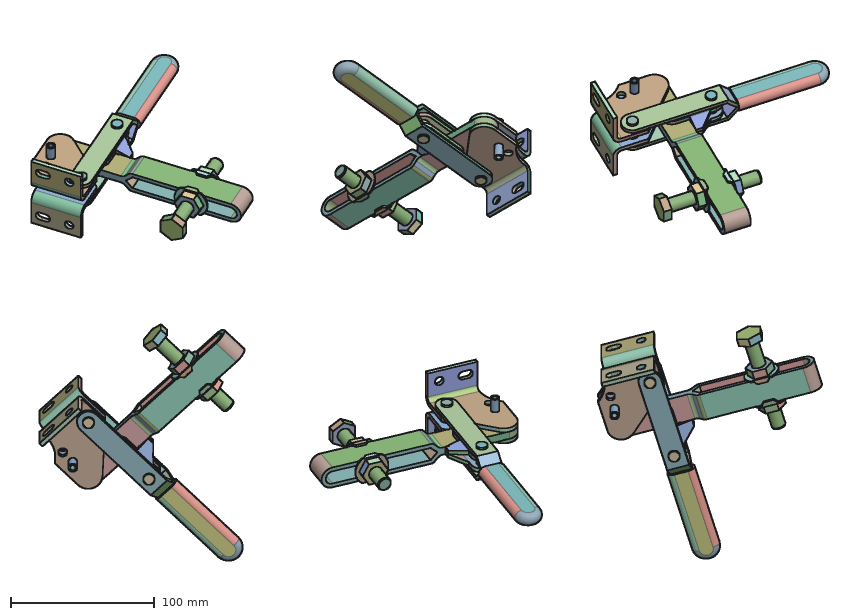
import cadquery as cq
import math


pivot_y = 18.2
arm_y = 48.2
upper_pivot_y = 78.2
rivet_radius = 4.0
rivet_half_length = 11.6

bracket_sheet = 3.2
bracket_gap_half = 3.0
bracket_bend_radius = 3.2
bracket_left = -39.7
bracket_right = 8.0
flange_left = -30.0
flange_edge_z = 28.5
bracket_corner_radius = 10.0
bracket_cut_angle = 43.0
relief_top_y = 25.2
relief_bottom_y = 6.4
mount_hole_z = 20.0
mount_hole_x = -1.0
mount_slot_x = -21.0
mount_hole_diameter = 6.5
mount_slot_length = 10.8

stop_x = -30.0
stop_y = 33.2
spare_stop_y = 23.2
stop_diameter = 6.2
stop_bore_diameter = 3.8
stop_half_length = 16.4

arm_width = 20.0
arm_sheet = 3.2
arm_bar_half = 3.0
arm_loop_half = 8.2
arm_fork_x = 25.0
arm_fork_outer_x = 23.0
arm_foot_radius = 5.0
arm_shoulder_radius = 4.0
arm_end_center_x = 104.7

ear_sheet = 3.2
ear_radius = 8.0
wing_tip_x = 18.8
wing_lap = 0.2
wing_tip_y = 63.4

strap_inner_z = 7.2
strap_outer_z = 10.0
strap_radius = 8.0
grip_start_y = 95.2
grip_end_y = 167.0
grip_width = 20.0
grip_thickness = 10.0

bolt_x = 75.0
bolt_diameter = 10.0
bolt_chamfer = 1.0
bolt_tip_chamfer = 0.5
bolt_tip_y = 81.3
head_bottom_y = 5.1
head_height = 6.0
hex_across_flats = 17.0
nut_height = 6.0
washer_thickness = 1.0
washer_radius = 12.5
washer_flat_z = 10.0
tab_depth = 2.6
tab_root_half = 5.8
tab_tip_half = 3.7

diagonal = math.sqrt(0.5)
hex_across_corners = hex_across_flats / math.cos(math.pi / 6)
arm_top_y = arm_y + arm_width / 2
arm_bottom_y = arm_y - arm_width / 2


def z_rod(x, y, diameter, half_length):
    """Cylinder along Z, centred on Z = 0."""
    return cq.Workplane("XY", origin=(x, y, -half_length)).circle(diameter / 2).extrude(2 * half_length)


def y_prism(sketch_plane, height):
    """Extrude a sketch drawn on an XZ plane towards +Y."""
    return sketch_plane.extrude(-height)


def xz_plane(y):
    """XZ work plane at the given Y."""
    return cq.Workplane("XZ", origin=(0, y, 0))


def bracket_outline():
    """Side outline of a bracket plate, swept through its thickness and flange."""
    corner_x = bracket_left + bracket_corner_radius
    corner_y = arm_top_y - bracket_corner_radius
    cut_angle = math.radians(bracket_cut_angle)
    cut_x = corner_x + bracket_corner_radius * math.sin(cut_angle)
    cut_y = corner_y + bracket_corner_radius * math.cos(cut_angle)
    cut_right_y = cut_y - (bracket_right - cut_x) * math.tan(cut_angle)
    relief_rise = relief_top_y - relief_bottom_y
    relief_run = flange_left - bracket_left
    relief_radius = (relief_rise**2 + relief_run**2) / (2 * relief_run)
    relief_half_angle = math.asin(relief_rise / relief_radius) / 2
    relief_mid = (
        flange_left - relief_radius * (1 - math.cos(relief_half_angle)),
        relief_bottom_y + relief_radius * math.sin(relief_half_angle),
    )
    return (
        cq.Workplane("XY")
        .moveTo(flange_left, 0)
        .lineTo(bracket_right, 0)
        .lineTo(bracket_right, cut_right_y)
        .lineTo(cut_x, cut_y)
        .threePointArc(
            (corner_x - bracket_corner_radius * diagonal, corner_y + bracket_corner_radius * diagonal),
            (bracket_left, corner_y),
        )
        .lineTo(bracket_left, relief_top_y)
        .threePointArc(relief_mid, (flange_left, relief_bottom_y))
        .close()
        .extrude(flange_edge_z)
    )


def bent_sheet():
    """L-section of the bracket: upright plate, bend and flange."""
    outer_radius = bracket_bend_radius + bracket_sheet
    center_y = outer_radius
    center_z = bracket_gap_half + outer_radius
    plate_outer_z = bracket_gap_half + bracket_sheet
    return (
        cq.Workplane("YZ", origin=(bracket_left, 0, 0))
        .moveTo(arm_top_y, bracket_gap_half)
        .lineTo(center_y, bracket_gap_half)
        .threePointArc(
            (center_y - outer_radius * diagonal, center_z - outer_radius * diagonal),
            (0, center_z),
        )
        .lineTo(0, flange_edge_z)
        .lineTo(bracket_sheet, flange_edge_z)
        .lineTo(bracket_sheet, center_z)
        .threePointArc(
            (center_y - bracket_bend_radius * diagonal, center_z - bracket_bend_radius * diagonal),
            (center_y, plate_outer_z),
        )
        .lineTo(arm_top_y, plate_outer_z)
        .close()
        .extrude(bracket_right - bracket_left)
    )


def make_bracket():
    """Bracket plate on the +Z side."""
    plate = bent_sheet().intersect(bracket_outline())
    for hole_y in (stop_y, spare_stop_y):
        plate = plate.cut(z_rod(stop_x, hole_y, stop_diameter, flange_edge_z))
    plate = plate.cut(z_rod(0, pivot_y, 2 * rivet_radius, flange_edge_z))
    round_hole = y_prism(
        xz_plane(0).center(mount_hole_x, mount_hole_z).circle(mount_hole_diameter / 2), bracket_sheet
    )
    slot = y_prism(
        xz_plane(0).center(mount_slot_x, mount_hole_z).slot2D(mount_slot_length, mount_hole_diameter),
        bracket_sheet,
    )
    return plate.cut(round_hole).cut(slot)


def make_stop_pin():
    """Hollow pin through both bracket plates."""
    pin = z_rod(stop_x, stop_y, stop_diameter, stop_half_length)
    return pin.cut(z_rod(stop_x, stop_y, stop_bore_diameter, stop_half_length))


def arm_bar():
    """Flat bar with a round rear end, forking into a long closed loop at the front."""
    end_radius = arm_width / 2
    rear_center_x = bracket_left + end_radius
    inner_half = arm_loop_half - arm_sheet
    inner_bend_x = arm_fork_x + inner_half
    shoulder_x = arm_fork_outer_x + arm_loop_half - arm_bar_half
    half_bend_tangent = math.tan(math.radians(45 / 2))
    foot_run = arm_foot_radius * half_bend_tangent
    shoulder_run = arm_shoulder_radius * half_bend_tangent
    upper_half = y_prism(
        xz_plane(arm_bottom_y)
        .moveTo(bracket_left, 0)
        .lineTo(bracket_left, arm_bar_half)
        .lineTo(arm_fork_outer_x - foot_run, arm_bar_half)
        .tangentArcPoint(
            (arm_fork_outer_x + foot_run * diagonal, arm_bar_half + foot_run * diagonal), relative=False
        )
        .lineTo(shoulder_x - shoulder_run * diagonal, arm_loop_half - shoulder_run * diagonal)
        .tangentArcPoint((shoulder_x + shoulder_run, arm_loop_half), relative=False)
        .lineTo(arm_end_center_x, arm_loop_half)
        .tangentArcPoint((arm_end_center_x + arm_loop_half, 0), relative=False)
        .close(),
        arm_width,
    )
    outer = upper_half.union(upper_half.mirror("XY"))
    opening = (
        xz_plane(arm_bottom_y)
        .moveTo(arm_fork_x, 0)
        .lineTo(inner_bend_x, -inner_half)
        .lineTo(arm_end_center_x, -inner_half)
        .threePointArc((arm_end_center_x + inner_half, 0), (arm_end_center_x, inner_half))
        .lineTo(inner_bend_x, inner_half)
        .close()
    )
    side_outline = (
        cq.Workplane("XY", origin=(0, 0, -arm_loop_half))
        .moveTo(rear_center_x, arm_bottom_y)
        .lineTo(arm_end_center_x + arm_loop_half, arm_bottom_y)
        .lineTo(arm_end_center_x + arm_loop_half, arm_top_y)
        .lineTo(rear_center_x, arm_top_y)
        .threePointArc((bracket_left, arm_y), (rear_center_x, arm_bottom_y))
        .close()
        .extrude(2 * arm_loop_half)
    )
    return outer.cut(y_prism(opening, arm_width)).intersect(side_outline)


def ear():
    """Ear on the +Z side: a round-ended link with a wing bent inwards to the arm's middle plane."""
    top_y = upper_pivot_y + ear_radius
    bottom_y = arm_y - ear_radius
    bend_end_x = wing_tip_x - wing_lap
    sheet = y_prism(
        xz_plane(bottom_y).polyline(
            [
                (-ear_radius, arm_bar_half),
                (ear_radius, arm_bar_half),
                (bend_end_x, 0),
                (wing_tip_x, 0),
                (wing_tip_x, arm_bar_half),
                (bend_end_x, arm_bar_half),
                (ear_radius, arm_bar_half + ear_sheet),
                (-ear_radius, arm_bar_half + ear_sheet),
            ]
        ).close(),
        top_y - bottom_y,
    )
    height = arm_bar_half + ear_sheet
    link = (
        cq.Workplane("XY")
        .center(0, (arm_y + upper_pivot_y) / 2)
        .slot2D(top_y - bottom_y, 2 * ear_radius, 90)
        .extrude(height)
    )
    wing = (
        cq.Workplane("XY")
        .polyline(
            [
                (0, arm_top_y),
                (wing_tip_x, arm_top_y),
                (wing_tip_x, wing_tip_y),
                (ear_radius, wing_tip_y + wing_tip_x - ear_radius),
                (0, wing_tip_y + wing_tip_x - ear_radius),
            ]
        )
        .close()
        .extrude(height)
    )
    return sheet.intersect(link.union(wing))


def make_arm():
    """Arm with both ears and the upper rivet fixed in them."""
    upper_ear = ear()
    lower_ear = upper_ear.mirror("XY")
    rivet = z_rod(0, upper_pivot_y, 2 * rivet_radius, rivet_half_length)
    return arm_bar().union(upper_ear).union(lower_ear).union(rivet)


def make_handle():
    """Forked strap with the lower rivet fixed in it, ending against the grip."""
    strap_sheet = strap_outer_z - strap_inner_z
    apex_y = grip_start_y - (math.sqrt(2) - 1) * strap_sheet
    inner_bend_y = apex_y - strap_inner_z
    outer_bend_y = apex_y + math.sqrt(2) * strap_sheet - strap_outer_z
    bottom_y = pivot_y - strap_radius
    fork = (
        cq.Workplane("YZ", origin=(-strap_radius, 0, 0))
        .polyline(
            [
                (bottom_y, strap_outer_z),
                (outer_bend_y, strap_outer_z),
                (grip_start_y, strap_sheet),
                (grip_start_y, -strap_sheet),
                (outer_bend_y, -strap_outer_z),
                (bottom_y, -strap_outer_z),
                (bottom_y, -strap_inner_z),
                (inner_bend_y, -strap_inner_z),
                (apex_y, 0),
                (inner_bend_y, strap_inner_z),
                (bottom_y, strap_inner_z),
            ]
        )
        .close()
        .extrude(2 * strap_radius)
    )
    outline = (
        cq.Workplane("XY", origin=(0, 0, -strap_outer_z))
        .moveTo(strap_radius, pivot_y)
        .lineTo(strap_radius, grip_start_y)
        .lineTo(-strap_radius, grip_start_y)
        .lineTo(-strap_radius, pivot_y)
        .threePointArc((0, bottom_y), (strap_radius, pivot_y))
        .close()
        .extrude(2 * strap_outer_z)
    )
    rivet = z_rod(0, pivot_y, 2 * rivet_radius, rivet_half_length)
    upper_hole = z_rod(0, upper_pivot_y, 2 * rivet_radius, strap_outer_z)
    return fork.intersect(outline).cut(upper_hole).union(rivet)


def make_grip():
    """Flat bar with fully rounded edges and a rounded far end."""
    edge_radius = grip_thickness / 2
    flat_half = grip_width / 2 - edge_radius
    dome_y = grip_end_y - grip_width / 2
    bar = y_prism(xz_plane(grip_start_y).slot2D(grip_width, grip_thickness), dome_y - grip_start_y)
    dome = (
        cq.Workplane("XZ", origin=(0, dome_y, 0))
        .moveTo(0, -edge_radius)
        .lineTo(flat_half, -edge_radius)
        .threePointArc((flat_half + edge_radius, 0), (flat_half, edge_radius))
        .lineTo(0, edge_radius)
        .close()
        .revolve(360, (0, 0, 0), (0, 1, 0))
    )
    return bar.union(dome)


def make_bolt():
    """Hexagon bolt along Y with flats facing X and a chamfered tip."""
    head = y_prism(
        xz_plane(head_bottom_y)
        .center(bolt_x, 0)
        .transformed(rotate=(0, 0, 90))
        .polygon(6, hex_across_corners),
        head_height,
    )
    shank_bottom_y = head_bottom_y + head_height
    shank = y_prism(
        xz_plane(shank_bottom_y).center(bolt_x, 0).circle(bolt_diameter / 2), bolt_tip_y - shank_bottom_y
    )
    shank = shank.faces(">Y").chamfer(bolt_chamfer, bolt_tip_chamfer)
    return head.union(shank)


def make_clamp_nut():
    """Hexagon nut with its saddle washer on the arm's +Y edge."""
    washer = y_prism(xz_plane(arm_top_y).center(bolt_x, 0).circle(washer_radius), washer_thickness)
    flats = cq.Workplane("XY", origin=(bolt_x, arm_top_y + washer_thickness / 2, 0)).box(
        2 * washer_radius, washer_thickness, 2 * washer_flat_z
    )
    washer = washer.intersect(flats)
    tab_top_y = arm_top_y + washer_thickness
    tab = (
        cq.Workplane("XY", origin=(0, 0, arm_loop_half))
        .polyline(
            [
                (bolt_x - tab_root_half, tab_top_y),
                (bolt_x - tab_root_half, arm_top_y),
                (bolt_x - tab_tip_half, arm_top_y - tab_depth),
                (bolt_x + tab_tip_half, arm_top_y - tab_depth),
                (bolt_x + tab_root_half, arm_top_y),
                (bolt_x + tab_root_half, tab_top_y),
            ]
        )
        .close()
        .extrude(washer_flat_z - arm_loop_half)
    )
    nut = y_prism(xz_plane(tab_top_y).center(bolt_x, 0).polygon(6, hex_across_corners), nut_height)
    bore = y_prism(
        xz_plane(arm_top_y).center(bolt_x, 0).circle(bolt_diameter / 2), washer_thickness + nut_height
    )
    return washer.union(tab).union(tab.mirror("XY")).union(nut).cut(bore)


upper_bracket = make_bracket()
brackets = [upper_bracket, upper_bracket.mirror("XY")]
stop_pin = make_stop_pin()
arm = make_arm()
handle = make_handle()
grip = make_grip()
bolt = make_bolt()
upper_nut = make_clamp_nut()
clamp_nuts = [upper_nut, upper_nut.mirror("XZ", (0, arm_y, 0))]

result = cq.Compound.makeCompound(
    [
        *[bracket.solids().val() for bracket in brackets],
        stop_pin.solids().val(),
        arm.solids().val(),
        handle.solids().val(),
        grip.solids().val(),
        bolt.solids().val(),
        *[nut.solids().val() for nut in clamp_nuts],
    ]
)